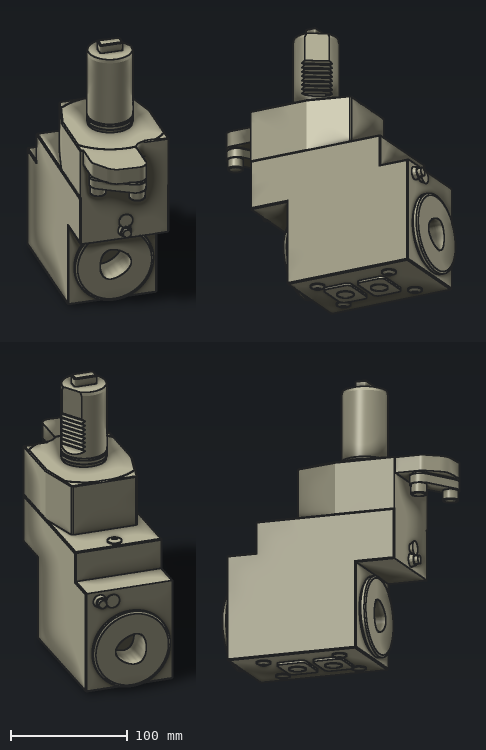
import cadquery as cq
import math


OVERALL_LENGTH = 206.49
OVERALL_HEIGHT = 248.5
WIDTH = 80.0
ARM_TIP_X = 87.1
NOZZLE_TIP_X = ARM_TIP_X - OVERALL_LENGTH
BOTTOM_Z = -170.0
KEY_TOP_Z = BOTTOM_Z + OVERALL_HEIGHT

BODY_LEFT_X = -111.5
SHOULDER_X = -84.8
LOWER_RIGHT_X = 7.0
BODY_RIGHT_X = 42.3
BODY_TOP_Z = -46.5
SHOULDER_Z = -74.2
OVERHANG_Z = -91.0
BODY_BOTTOM_Z = -167.2
EDGE_CHAMFER = 1.0

FLANGE_WIDTH = 79.4
FLANGE_LEFT_X = -50.5
FLANGE_TAPER_X = -12.3
FLANGE_LEFT_HALF_WIDTH = 30.0
FLANGE_CHAMFER = 1.2
SEAT_RADIUS = 50.0
SEAT_HEIGHT = 0.5

SHANK_RADIUS = 20.0
SHANK_TOP_Z = 70.6
SHANK_LEAD_LENGTH = 3.2
SHANK_LEAD_DEPTH = 0.7
FLAT_DISTANCE = 17.0
FLAT_ANGLE = 122.0
TOOTH_PITCH = 4.0
TOOTH_COUNT = 8
TOOTH_DEPTH = 1.8
TEETH_TOP_Z = 45.5
FLAT_RUNOUT = 3.0
SEAL_GROOVE_Z = 6.2
SEAL_GROOVE_WIDTH = 2.0
SEAL_GROOVE_DEPTH = 0.5
UNDERCUT_HEIGHT = 2.8
UNDERCUT_DEPTH = 0.7

KEY_THICKNESS = 10.3
KEY_LENGTH = 20.4
KEY_CHAMFER = 0.9
KEY_CORNER_RADIUS = 1.6

ARM_FRONT_Y = -37.0
ARM_BACK_Y = 8.0
ARM_THICKNESS = 14.5
ARM_ROOT_RADIUS = 10.0
ARM_TIP_RADIUS = 8.0
ARM_BEND = (85.0, -23.7)
ARM_BEND_RADIUS = 14.0
ARM_FRONT_CORNER_X = 66.5
ARM_FRONT_RADIUS = 6.5
BOLT_CENTRES = [(61.0, -29.7), (78.7, 0.0)]
BOLT_RADIUS = 6.8
BOLT_CHAMFER = 0.8
SPACER_RADIUS = 5.2
SPACER_HEIGHT = 2.5
CLAMP_RADIUS = 9.2
CLAMP_HEIGHT = 7.8
BOLT_BOTTOM_Z = -33.8

SPINDLE_Z = -130.2
SPINDLE_PROJECTION = 6.7
SPINDLE_RIM_RADIUS = 35.3
SPINDLE_FACE_RADIUS = 33.3
SPINDLE_RIM_WIDTH = 4.0
SPINDLE_RIM_CHAMFER = 1.0
SPINDLE_NECK_RADIUS = 31.7
SOCKET_MEAN_RADIUS = 14.0
SOCKET_ECCENTRICITY = 1.0
SOCKET_DEPTH = 30.0

NOZZLE_Z = -83.0
NOZZLE_Y = 27.3
NOZZLE_BASE_RADIUS = 5.8
NOZZLE_NECK_RADIUS = 4.6
NOZZLE_NECK_LENGTH = 4.0
NOZZLE_TIP_RADIUS = 3.7
NOZZLE_LENGTH = BODY_LEFT_X - NOZZLE_TIP_X
SCREW_SPACING = 10.6
SCREW_BASE_RADIUS = 3.9
SCREW_HEAD_RADIUS = 6.2
SCREW_HEIGHT = 4.0
FITTING_BASE_RADIUS = 6.2
FITTING_RIM_HEIGHT = 0.9
FITTING_SHOULDER_RADIUS = 4.2
FITTING_SHOULDER_HEIGHT = 1.9
FITTING_TOP_RADIUS = 2.6
FITTING_HEIGHT = BODY_BOTTOM_Z - BOTTOM_Z
FITTING_BORE_DIAMETER = 2.5
TOP_FITTING_X = -75.0
BOTTOM_FITTING_XS = (-84.0, -14.3)
BOTTOM_FITTING_Y = 23.3

COVER_XS = (-61.8, -28.8)
COVER_LENGTH_X = 26.5
COVER_LENGTH_Y = 35.0
COVER_CORNER_RADIUS = 4.5
COVER_THICKNESS = 2.1
COVER_BOSS_RADIUS = 7.5

OVERLAP = 1.0


def cylinder(radius, bottom_z, top_z):
    return cq.Workplane("XY").workplane(offset=bottom_z).circle(radius).extrude(top_z - bottom_z)


def turned(profile):
    """Revolve (radius, height) points about Z."""
    return cq.Workplane("XZ").polyline(profile).close().revolve(360, (0, 0, 0), (0, 1, 0))


def point_along_x(shape, direction):
    """Turn a piece standing on +Z so that it points along +X or -X."""
    return shape.rotate((0, 0, 0), (0, 1, 0), 90 * direction)


def make_body():
    outline = [
        (BODY_LEFT_X, BODY_BOTTOM_Z),
        (LOWER_RIGHT_X, BODY_BOTTOM_Z),
        (LOWER_RIGHT_X, OVERHANG_Z),
        (BODY_RIGHT_X, OVERHANG_Z),
        (BODY_RIGHT_X, BODY_TOP_Z),
        (SHOULDER_X, BODY_TOP_Z),
        (SHOULDER_X, SHOULDER_Z),
        (BODY_LEFT_X, SHOULDER_Z),
    ]
    body = cq.Workplane("XZ").polyline(outline).close().extrude(WIDTH / 2, both=True)
    shoulder_edge = cq.NearestToPointSelector((SHOULDER_X, 0, BODY_TOP_Z))
    body = body.edges(shoulder_edge).chamfer(EDGE_CHAMFER)
    return body.faces("<Y or >Y or <Z").edges().chamfer(EDGE_CHAMFER)


def lower_around_seat(blank):
    """Take the top of a blank down by the seat height, except within the round seat."""
    slab = cylinder(2 * OVERALL_LENGTH, -SEAT_HEIGHT, OVERLAP)
    return blank.cut(slab.cut(cylinder(SEAT_RADIUS, -SEAT_HEIGHT, OVERLAP)))


def make_flange():
    half = FLANGE_WIDTH / 2
    outline = [
        (FLANGE_LEFT_X, -FLANGE_LEFT_HALF_WIDTH),
        (FLANGE_TAPER_X, -half),
        (BODY_RIGHT_X, -half),
        (BODY_RIGHT_X, half),
        (FLANGE_TAPER_X, half),
        (FLANGE_LEFT_X, FLANGE_LEFT_HALF_WIDTH),
    ]
    blank = cq.Workplane("XY").workplane(offset=BODY_TOP_Z).polyline(outline).close().extrude(-BODY_TOP_Z)
    blank = blank.edges(">Z or (<X and |Z)").chamfer(FLANGE_CHAMFER)
    return lower_around_seat(blank)


def make_arm():
    root_x = BODY_RIGHT_X - OVERLAP
    fillet_end_x = BODY_RIGHT_X + ARM_ROOT_RADIUS
    arm = (
        cq.Workplane("XY")
        .workplane(offset=-ARM_THICKNESS)
        .moveTo(0, ARM_FRONT_Y)
        .lineTo(ARM_FRONT_CORNER_X, ARM_FRONT_Y)
        .lineTo(*ARM_BEND)
        .lineTo(ARM_TIP_X, ARM_BACK_Y)
        .lineTo(fillet_end_x, ARM_BACK_Y)
        .radiusArc((BODY_RIGHT_X, ARM_BACK_Y + ARM_ROOT_RADIUS), ARM_ROOT_RADIUS)
        .lineTo(root_x, ARM_BACK_Y + ARM_ROOT_RADIUS)
        .lineTo(0, ARM_BACK_Y)
        .close()
        .extrude(ARM_THICKNESS)
    )

    def round_corner(shape, corner, radius):
        x, y = corner
        nearest = cq.NearestToPointSelector((x, y, -ARM_THICKNESS / 2))
        return shape.edges(nearest).fillet(radius)

    arm = round_corner(arm, (ARM_TIP_X, ARM_BACK_Y), ARM_TIP_RADIUS)
    arm = round_corner(arm, ARM_BEND, ARM_BEND_RADIUS)
    arm = round_corner(arm, (ARM_FRONT_CORNER_X, ARM_FRONT_Y), ARM_FRONT_RADIUS)
    return lower_around_seat(arm)


def make_clamp():
    (x1, y1), (x2, y2) = BOLT_CENTRES
    spacing = math.hypot(x2 - x1, y2 - y1)
    angle = math.degrees(math.atan2(y2 - y1, x2 - x1))

    def link(radius, end_inset, bottom_z, top_z):
        return (
            cq.Workplane("XY")
            .slot2D(spacing + 2 * (radius - end_inset), 2 * radius, angle)
            .extrude(top_z - bottom_z)
            .translate(((x1 + x2) / 2, (y1 + y2) / 2, bottom_z))
        )

    clamp_inset = (x2 + CLAMP_RADIUS - ARM_TIP_X) * spacing / (x2 - x1)
    spacer_bottom = -ARM_THICKNESS - SPACER_HEIGHT
    clamp_bottom = spacer_bottom - CLAMP_HEIGHT
    clamp = link(SPACER_RADIUS, 0, spacer_bottom, -ARM_THICKNESS + OVERLAP)
    clamp = clamp.union(link(CLAMP_RADIUS, clamp_inset, clamp_bottom, spacer_bottom))
    bolt = cylinder(BOLT_RADIUS, BOLT_BOTTOM_Z, clamp_bottom).faces("<Z").chamfer(BOLT_CHAMFER)
    for x, y in BOLT_CENTRES:
        clamp = clamp.union(bolt.translate((x, y, 0)))
    return clamp


def make_serration_cutter():
    """Toothed flat, drawn as (distance from axis, height) and extruded across the shank."""
    outer = SHANK_RADIUS + OVERLAP
    valley = FLAT_DISTANCE - TOOTH_DEPTH
    top = SHANK_TOP_Z + OVERLAP
    teeth_bottom = TEETH_TOP_Z - TOOTH_COUNT * TOOTH_PITCH
    points = [(outer, top), (FLAT_DISTANCE, top), (FLAT_DISTANCE, TEETH_TOP_Z)]
    for tooth in range(TOOTH_COUNT):
        tooth_top = TEETH_TOP_Z - tooth * TOOTH_PITCH
        points.append((valley, tooth_top - TOOTH_PITCH / 2))
        points.append((FLAT_DISTANCE, tooth_top - TOOTH_PITCH))
    points.append((outer, teeth_bottom - FLAT_RUNOUT))
    cutter = cq.Workplane("XZ").polyline(points).close().extrude(SHANK_RADIUS, both=True)
    return cutter.rotate((0, 0, 0), (0, 0, 1), FLAT_ANGLE)


def make_shank():
    undercut = SHANK_RADIUS - UNDERCUT_DEPTH
    groove = SHANK_RADIUS - SEAL_GROOVE_DEPTH
    groove_top = SEAL_GROOVE_Z + SEAL_GROOVE_WIDTH
    shank = turned([
        (0, -OVERLAP),
        (undercut, -OVERLAP),
        (undercut, UNDERCUT_HEIGHT),
        (SHANK_RADIUS, UNDERCUT_HEIGHT),
        (SHANK_RADIUS, SEAL_GROOVE_Z),
        (groove, SEAL_GROOVE_Z),
        (groove, groove_top),
        (SHANK_RADIUS, groove_top),
        (SHANK_RADIUS, SHANK_TOP_Z - SHANK_LEAD_LENGTH),
        (SHANK_RADIUS - SHANK_LEAD_DEPTH, SHANK_TOP_Z),
        (0, SHANK_TOP_Z),
    ])
    shank = shank.cut(make_serration_cutter())
    key_height = KEY_TOP_Z - SHANK_TOP_Z
    key = cq.Workplane("XY").box(KEY_THICKNESS, KEY_LENGTH, key_height + OVERLAP, (True, True, False))
    key = key.edges("|Z").fillet(KEY_CORNER_RADIUS)
    key = key.faces(">Z").chamfer(KEY_CHAMFER).translate((0, 0, SHANK_TOP_Z - OVERLAP))
    return shank.union(key)


def make_spindle_flange(direction, face_x):
    """Collar standing off an end face of the body."""
    rim_start = SPINDLE_PROJECTION - SPINDLE_RIM_WIDTH
    collar = turned([
        (0, -OVERLAP),
        (SPINDLE_NECK_RADIUS, -OVERLAP),
        (SPINDLE_NECK_RADIUS, rim_start),
        (SPINDLE_RIM_RADIUS, rim_start),
        (SPINDLE_RIM_RADIUS, SPINDLE_PROJECTION - SPINDLE_RIM_CHAMFER),
        (SPINDLE_FACE_RADIUS, SPINDLE_PROJECTION),
        (0, SPINDLE_PROJECTION),
    ])
    return point_along_x(collar, direction).translate((face_x, 0, SPINDLE_Z))


def socket_outline(t):
    """Three-lobed polygon curve with one lobe towards +Y; t runs from 0 to 1."""
    angle = 2 * math.pi * t
    y = SOCKET_MEAN_RADIUS * math.cos(angle) + SOCKET_ECCENTRICITY * math.cos(2 * angle)
    z = SOCKET_MEAN_RADIUS * math.sin(angle) - SOCKET_ECCENTRICITY * math.sin(2 * angle)
    return (y, z)


def make_socket(direction, face_x):
    mouth_x = face_x + direction * SPINDLE_PROJECTION
    socket = cq.Workplane("YZ").parametricCurve(socket_outline).extrude(-direction * SOCKET_DEPTH)
    return socket.translate((mouth_x, 0, SPINDLE_Z))


def make_nozzle(direction, face_x, y):
    nozzle = turned([
        (0, -OVERLAP),
        (NOZZLE_BASE_RADIUS, -OVERLAP),
        (NOZZLE_BASE_RADIUS, 0),
        (NOZZLE_NECK_RADIUS, NOZZLE_NECK_LENGTH),
        (NOZZLE_TIP_RADIUS, NOZZLE_NECK_LENGTH),
        (NOZZLE_TIP_RADIUS, NOZZLE_LENGTH),
        (0, NOZZLE_LENGTH),
    ])
    return point_along_x(nozzle, direction).translate((face_x, y, NOZZLE_Z))


def make_screw(direction, face_x, y, z):
    """Tapered head, widest at its outer end."""
    screw = turned([
        (0, -OVERLAP),
        (SCREW_BASE_RADIUS, -OVERLAP),
        (SCREW_BASE_RADIUS, 0),
        (SCREW_HEAD_RADIUS, SCREW_HEIGHT),
        (0, SCREW_HEIGHT),
    ])
    return point_along_x(screw, direction).translate((face_x, y, z))


def make_fitting():
    bore = FITTING_BORE_DIAMETER / 2
    return turned([
        (0, -OVERLAP),
        (FITTING_BASE_RADIUS, -OVERLAP),
        (FITTING_BASE_RADIUS, FITTING_RIM_HEIGHT),
        (FITTING_SHOULDER_RADIUS, FITTING_SHOULDER_HEIGHT),
        (FITTING_TOP_RADIUS, FITTING_HEIGHT),
        (bore, FITTING_HEIGHT),
        (bore, 0),
        (0, 0),
    ])


def make_cover():
    height = COVER_THICKNESS + OVERLAP
    plate = cq.Workplane("XY").box(COVER_LENGTH_X, COVER_LENGTH_Y, height, (True, True, False))
    plate = plate.edges("|Z").fillet(COVER_CORNER_RADIUS)
    plate = plate.translate((0, 0, BODY_BOTTOM_Z - COVER_THICKNESS))
    return plate.union(cylinder(COVER_BOSS_RADIUS, BOTTOM_Z, BODY_BOTTOM_Z))


result = make_body().union(make_flange()).union(make_arm()).union(make_clamp()).union(make_shank())

for end_direction, end_x in ((-1, BODY_LEFT_X), (1, LOWER_RIGHT_X)):
    result = result.union(make_spindle_flange(end_direction, end_x))
    result = result.cut(make_socket(end_direction, end_x))

result = result.union(make_nozzle(-1, BODY_LEFT_X, NOZZLE_Y))
result = result.union(make_screw(-1, BODY_LEFT_X, NOZZLE_Y - SCREW_SPACING, NOZZLE_Z))
result = result.union(make_nozzle(1, BODY_RIGHT_X, 0))
result = result.union(make_screw(1, BODY_RIGHT_X, 0, NOZZLE_Z + SCREW_SPACING))

result = result.union(make_fitting().translate((TOP_FITTING_X, 0, BODY_TOP_Z)))
bottom_fitting = make_fitting().rotate((0, 0, 0), (1, 0, 0), 180)
for fitting_x in BOTTOM_FITTING_XS:
    for fitting_y in (-BOTTOM_FITTING_Y, BOTTOM_FITTING_Y):
        result = result.union(bottom_fitting.translate((fitting_x, fitting_y, BODY_BOTTOM_Z)))

for cover_x in COVER_XS:
    result = result.union(make_cover().translate((cover_x, 0, 0)))